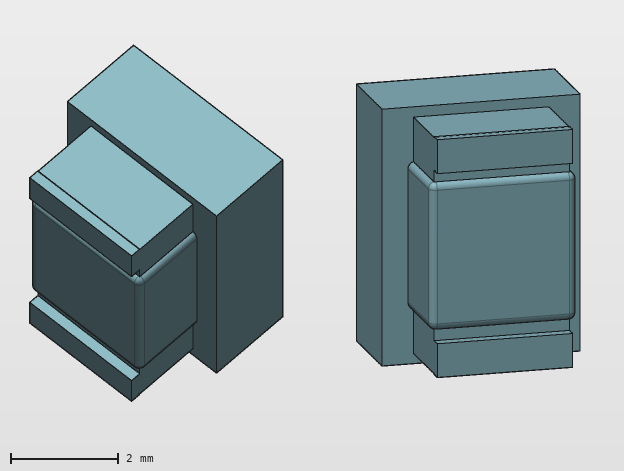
import cadquery as cq

block_width = 3.81
block_depth = 1.78
block_height = 4.95

core_width = 2.605
core_reach = 1.43
core_height = 4.555

pad_overhang = 0.015
pad_thickness = 0.22
pad_height = 0.655

winding_width = 2.81
winding_reach = 1.545
winding_height = 2.84
winding_rounding = 0.135


def front_box(width, reach, height, start=0.0):
    """Box centred in X and Z, reaching toward -Y from y = -start."""
    box = cq.Workplane("XY").box(width, reach, height)
    return box.translate((0, -start - reach / 2, 0))


block = front_box(block_width, block_depth, block_height, -block_depth)
core = front_box(core_width, core_reach, core_height)

winding = front_box(winding_width, winding_reach, winding_height)
winding = winding.edges("|Y or <Y").fillet(winding_rounding)

result = block.union(core).union(winding)

pad_offset = core_height / 2 + pad_overhang - pad_height / 2
pad = front_box(core_width, pad_thickness, pad_height, core_reach)
for side in (-1, 1):
    result = result.union(pad.translate((0, 0, side * pad_offset)))